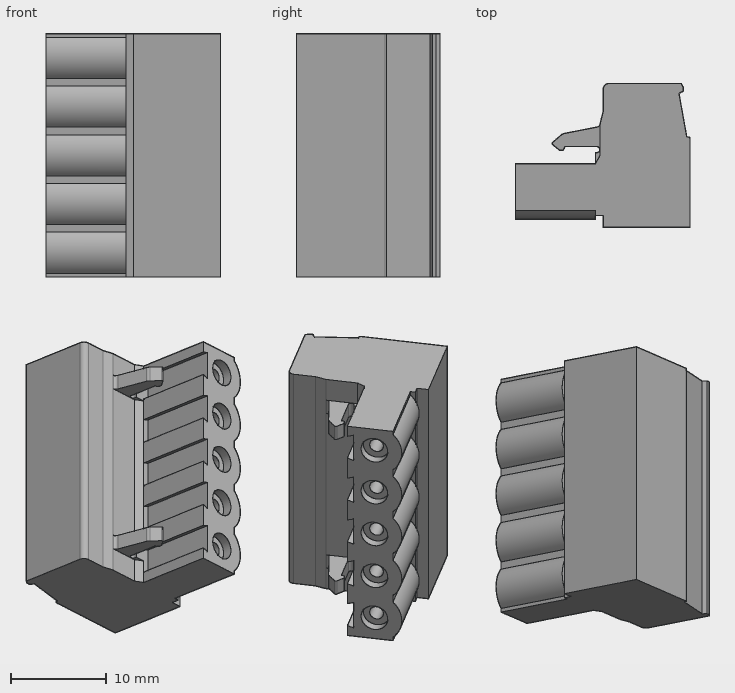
import cadquery as cq

length_x = 18.2
depth_y = 15.0
height_z = 25.4

pole_count = 5
pole_pitch = height_z / pole_count
pole_heights = [(i + 0.5) * pole_pitch for i in range(pole_count)]

plug_length = 8.33
plug_front_y = 1.75
plug_back_y = 6.63
socket_y = 3.73
barrel_radius = 2.92
socket_mouth_radius = 1.42
socket_mouth_depth = 1.02
socket_bore_radius = 0.74

groove_depth = 0.65
groove_mouth_width = 2.65
groove_floor_width = 3.05

housing_x = 9.15
neck_front_y = 1.22
wall_x = 8.85
wall_start_y = 7.52
wall_end_y = 10.9
wall_taper_end_y = 12.1
housing_corner_radius = 0.6
lip_x = 17.53
lip_corner = 0.23
lip_slope_start_y = 14.58
lip_bottom_y = 14.2
lip_root = (17.07, 13.97)
back_step_y = 9.42
back_step_x = 17.88
back_step_radius = 0.15

latch_width = 1.6
latch_inset = 2.51
latch_heights = [latch_inset, height_z - latch_inset - latch_width]
latch_root_arc_end = (8.48, 10.46)
latch_root_arc_mid = (8.75, 10.6)
latch_shoulder = (4.9, 9.75)
latch_shoulder_radius = 0.75
latch_nose = (3.73, 8.75)
latch_nose_radius = 0.15
latch_barb_y = 8.03
latch_barb_start_x = 4.6
latch_barb_end_x = 4.98
latch_underside_x = 5.18
latch_underside_y = 8.4
latch_pad_y = 7.8
latch_relief_radius = (latch_underside_y - latch_pad_y) / 2
latch_relief_x = 8.48


def make_housing():
    """Full-height housing, ending at the face the plug grows from."""
    corner = housing_corner_radius
    return (
        cq.Workplane("XY")
        .moveTo(plug_length, neck_front_y)
        .lineTo(housing_x, neck_front_y)
        .lineTo(housing_x, 0)
        .lineTo(length_x, 0)
        .lineTo(length_x, back_step_y - back_step_radius)
        .radiusArc((length_x - back_step_radius, back_step_y), -back_step_radius)
        .lineTo(back_step_x, back_step_y)
        .lineTo(*lip_root)
        .lineTo(lip_x, lip_bottom_y)
        .lineTo(lip_x, lip_slope_start_y)
        .lineTo(lip_x - lip_corner, depth_y)
        .lineTo(housing_x + corner, depth_y)
        .radiusArc((housing_x, depth_y - corner), -corner)
        .lineTo(housing_x, wall_taper_end_y)
        .lineTo(wall_x, wall_end_y)
        .lineTo(wall_x, wall_start_y)
        .lineTo(plug_length, plug_back_y)
        .close()
        .extrude(height_z)
    )


def plug_block(front_y):
    """Full-height block from front_y to the back of the plug."""
    block_size = (plug_length, plug_back_y - front_y, height_z)
    return cq.Workplane("XY").box(*block_size, centered=False).translate((0, front_y, 0))


def make_plug():
    """Plug slab with a round barrel bulging from its front at each pole."""
    barrels = pole_cylinders(barrel_radius, plug_length).intersect(plug_block(0))
    return plug_block(plug_front_y).union(barrels)


def pole_cylinders(radius, length):
    """One cylinder per pole, running in +X from the plug's end face."""
    centres = [(socket_y, z) for z in pole_heights]
    return cq.Workplane("YZ").pushPoints(centres).circle(radius).extrude(length)


def make_groove(pole_z):
    """Dovetail groove along the back of the plug at one pole."""
    floor_y = plug_back_y - groove_depth
    return (
        cq.Workplane("YZ")
        .moveTo(plug_back_y, pole_z - groove_mouth_width / 2)
        .lineTo(plug_back_y, pole_z + groove_mouth_width / 2)
        .lineTo(floor_y, pole_z + groove_floor_width / 2)
        .lineTo(floor_y, pole_z - groove_floor_width / 2)
        .close()
        .extrude(plug_length)
    )


def make_latch(base_z):
    """Hooked latch arm with the pad below it."""
    middle_z = base_z + latch_width / 2
    arm = (
        cq.Workplane("XY", origin=(0, 0, base_z))
        .moveTo(housing_x, wall_end_y)
        .lineTo(wall_x, wall_end_y)
        .threePointArc(latch_root_arc_mid, latch_root_arc_end)
        .lineTo(*latch_shoulder)
        .lineTo(*latch_nose)
        .lineTo(latch_barb_start_x, latch_barb_y)
        .lineTo(latch_barb_end_x, latch_barb_y)
        .lineTo(latch_underside_x, latch_underside_y)
        .lineTo(latch_relief_x, latch_underside_y)
        .radiusArc((latch_relief_x, latch_pad_y), latch_relief_radius)
        .lineTo(plug_length, latch_pad_y)
        .lineTo(plug_length, plug_back_y)
        .lineTo(housing_x, plug_back_y)
        .close()
        .extrude(latch_width)
    )
    shoulder_edge = cq.NearestToPointSelector((*latch_shoulder, middle_z))
    arm = arm.edges(shoulder_edge).fillet(latch_shoulder_radius)
    nose_edge = cq.NearestToPointSelector((*latch_nose, middle_z))
    return arm.edges(nose_edge).fillet(latch_nose_radius)


result = make_housing().union(make_plug())
for latch_z in latch_heights:
    result = result.union(make_latch(latch_z))

result = result.cut(pole_cylinders(socket_mouth_radius, socket_mouth_depth))
result = result.cut(pole_cylinders(socket_bore_radius, plug_length))
for pole_z in pole_heights:
    result = result.cut(make_groove(pole_z))